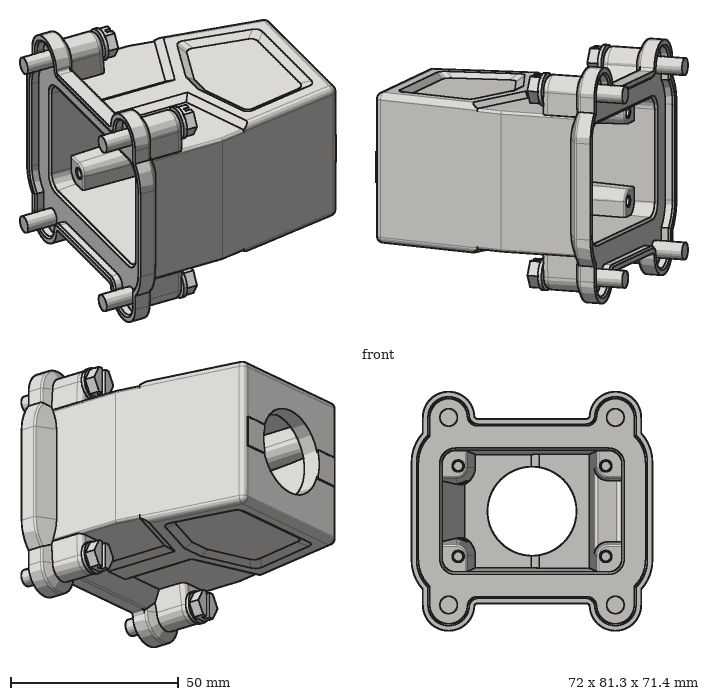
import cadquery as cq
import math


TOTAL_LENGTH = 81.35
FLANGE_WIDTH = 72.0
FLANGE_HEIGHT = 55.15
FLANGE_CORNER_R = 13.0
FLANGE_FRONT = 6.9
FLANGE_PLATE = 5.0
FLANGE_EDGE_R = 0.8
SLOPE_HEIGHT = 3.6
SLOPE_ANGLE = 60.0
LUG_X = 24.9
LUG_Z = 28.0
LUG_R = 7.7
LUG_ROOT_R = 1.0
RECESS_DEPTH = 2.85
RECESS_FLOOR = FLANGE_FRONT + RECESS_DEPTH
RIM_WIDTH = 1.55
RIM_CHAMFER = 0.6

HOOD_HALF_WIDTH = 29.85
HOOD_HALF_HEIGHT = 22.9
HOOD_END = 80.95
HOOD_END_HALF_WIDTH = 22.2
HOOD_BEND = 37.9
HOOD_EDGE_R = 2.0
SIDE_SLOPE = (HOOD_HALF_WIDTH - HOOD_END_HALF_WIDTH) / (HOOD_END - HOOD_BEND)
PAD_X = 16.7
PAD_WIDTH = 8.0
PAD_HEIGHT = 9.3

RELIEF_DEPTH = 1.5
RELIEF_RUN = 2.6
RELIEF_TAPER = math.degrees(math.atan(RELIEF_RUN / RELIEF_DEPTH))
RIB_HALF_WIDTH = 4.0
RIB_FORK = 39.95
ARM_SLOPE = 0.36
POCKET_FRONT = 43.6
POCKET_BACK = 75.65
POCKET_CORNER_R = 5.3
POCKET_SIDE_X = 22.45
POCKET_BACK_X = 17.6
PANEL_EDGE_R = 0.8
PANEL_CORE_END = 53.7
PANEL_OVERHANG = 8.1

CAVITY_HALF_WIDTH = 26.85
CAVITY_HALF_HEIGHT = 18.15
CAVITY_CORNER_R = 4.1
MOUTH_CHAMFER = 0.7
CAVITY_END = 75.65
CAVITY_END_HALF_HEIGHT = 16.9
FLOOR_STEP = 2.3
FLOOR_STEP_X = 1.0
SHELF_Y = 35.8
SHELF_CORNER_R = 1.6
SHELF_EDGE_R = 1.05
ENTRY_R = 13.3

POST_FRONT = 17.0
POST_INNER_X = 19.4
POST_INNER_Z = 9.9
POST_CORNER_R = 3.25
POST_END_INSET = 2.4
POST_EDGE_R = 0.6
POST_HOLE_X = 22.05
POST_HOLE_Z = 13.5
POST_HOLE_R = 1.5
POST_HOLE_DEPTH = 9.8
POST_HOLE_CHAMFER = 0.3

BOSS_R = 4.6
BOSS_END = 24.9
BOSS_EDGE_R = 1.9
WEB_FOOT_Z = 21.15
WEB_FOOT_SPREAD = 1.1
SCREW_R = 2.6
WASHER_R = 5.0
WASHER_END = 26.0
HEAD_END = 29.5
HEAD_FLATS = 8.0
HEAD_SLOT_WIDTH = 1.4
HEAD_SLOT_DEPTH = 1.7

BEYOND = 2 * TOTAL_LENGTH


def across(y):
    """Workplane at the given Y, facing +Y, with local x along X and local y along -Z."""
    return cq.Workplane(cq.Plane(origin=(0, y, 0), xDir=(1, 0, 0), normal=(0, 1, 0)))


def between(y_low, y_high, half_width=BEYOND):
    """Selector for edges centred between two Y positions and within a half width in X."""
    return cq.selectors.BoxSelector((-half_width, y_low, -BEYOND), (half_width, y_high, BEYOND))


def four_corners(x, z):
    return [(sx * x, sz * z) for sx in (-1, 1) for sz in (-1, 1)]


def mirrored(points):
    """Points of a right-hand half outline followed by their mirror image in X = 0."""
    return points + [(-x, y) for x, y in reversed(points)]


def at_four_corners(part):
    pair = part.union(part.mirror("YZ"))
    return pair.union(pair.mirror("XY"))


def round_lug_roots(solid, y_low, y_high, radius):
    """Round the edges where the lugs meet the long straight sides."""
    return solid.edges("|Y").edges(between(y_low, y_high, LUG_X)).fillet(radius)


def flange_pieces(y, inset):
    """Rounded plate outline and the two lug-pair outlines, drawn in from the rim by inset."""
    width = FLANGE_WIDTH - 2 * inset
    height = FLANGE_HEIGHT - 2 * inset
    plate = cq.Sketch().rect(width, height).vertices().fillet(FLANGE_CORNER_R - inset)
    lug_pair = cq.Sketch().slot(2 * LUG_Z, 2 * (LUG_R - inset), angle=90)
    return [
        across(y).placeSketch(plate),
        across(y).center(-LUG_X, 0).placeSketch(lug_pair),
        across(y).center(LUG_X, 0).placeSketch(lug_pair),
    ]


def make_flange():
    """Plate with filleted lug roots, topped by sloped pieces whose rims are rounded."""
    slope_front = FLANGE_FRONT + FLANGE_PLATE
    straight_height = FLANGE_PLATE - FLANGE_EDGE_R * math.tan(math.radians(SLOPE_ANGLE / 2))
    plate = cq.Workplane()
    for outline in flange_pieces(FLANGE_FRONT, 0):
        plate = plate.union(outline.extrude(straight_height))
    flange = round_lug_roots(plate, FLANGE_FRONT, slope_front, LUG_ROOT_R)
    rim = between(slope_front - 0.1, slope_front + 0.1)
    for straight, sloped in zip(flange_pieces(FLANGE_FRONT, 0), flange_pieces(slope_front, 0)):
        piece = straight.extrude(FLANGE_PLATE).union(sloped.extrude(SLOPE_HEIGHT, taper=SLOPE_ANGLE))
        flange = flange.union(piece.edges(rim).fillet(FLANGE_EDGE_R))
    return flange


def make_recess():
    """Shallow recess that follows the flange outline."""
    inset = RIM_WIDTH + RIM_CHAMFER
    recess = cq.Workplane()
    for outline in flange_pieces(FLANGE_FRONT, inset):
        recess = recess.union(outline.extrude(RECESS_DEPTH))
    return round_lug_roots(recess, FLANGE_FRONT, RECESS_FLOOR, LUG_ROOT_R + inset)


def make_base():
    """Flange with its recess and the chamfer inside the rim."""
    base = make_flange().cut(make_recess())
    rim_edges = base.faces("<Y").val().innerWires()[0].Edges()
    return base.newObject(rim_edges).chamfer(RIM_CHAMFER)


def make_relief_cut():
    """Sunken areas of the top face: one pocket and the two panels beside the Y-shaped rib."""
    top = cq.Workplane("XY", origin=(0, 0, HOOD_HALF_HEIGHT))
    side_y = POCKET_FRONT + (POCKET_SIDE_X - RIB_HALF_WIDTH) * ARM_SLOPE
    pocket_outline = mirrored([
        (RIB_HALF_WIDTH, POCKET_FRONT),
        (POCKET_SIDE_X, side_y),
        (POCKET_BACK_X, POCKET_BACK),
    ])
    pocket = top.polyline(pocket_outline).close().extrude(-RELIEF_DEPTH, taper=RELIEF_TAPER)
    side_corners = between(POCKET_FRONT + RELIEF_RUN + 1.6, BEYOND)
    pocket = pocket.edges("not #Z").edges(side_corners).fillet(POCKET_CORNER_R)

    outer_x = HOOD_HALF_WIDTH + PANEL_OVERHANG
    outer_y = RIB_FORK + (outer_x - RIB_HALF_WIDTH) * ARM_SLOPE
    panel_outline = [
        (RIB_HALF_WIDTH, 0),
        (outer_x, 0),
        (outer_x, outer_y),
        (RIB_HALF_WIDTH, RIB_FORK),
    ]
    panel = top.polyline(panel_outline).close().extrude(-RELIEF_DEPTH, taper=RELIEF_TAPER)
    panel = panel.union(panel.faces("<Z").wires().toPending().extrude(-2 * PANEL_EDGE_R))
    return pocket.union(panel).union(panel.mirror("YZ"))


def hood_block(end, half_height):
    """Block with straight sides that narrow beyond the bend."""
    end_half_width = HOOD_HALF_WIDTH - SIDE_SLOPE * (end - HOOD_BEND)
    outline = mirrored([
        (HOOD_HALF_WIDTH, RECESS_FLOOR),
        (HOOD_HALF_WIDTH, HOOD_BEND),
        (end_half_width, end),
    ])
    base = cq.Workplane("XY", origin=(0, 0, -half_height))
    return base.polyline(outline).close().extrude(2 * half_height)


def make_hood():
    """Raised block with the relief cut out, filled to panel level by a lower rounded core."""
    hood = hood_block(HOOD_END, HOOD_HALF_HEIGHT)
    hood = hood.edges(between(HOOD_BEND + 0.8, HOOD_END + 0.8)).fillet(HOOD_EDGE_R)
    relief = make_relief_cut()
    hood = hood.cut(relief).cut(relief.mirror("XY"))
    core = hood_block(PANEL_CORE_END, HOOD_HALF_HEIGHT - RELIEF_DEPTH)
    core = core.edges("#Z").edges("not |X").fillet(PANEL_EDGE_R)
    return hood.union(core)


def make_pads():
    """Two thin pads raised from the closed end."""
    start = HOOD_END - HOOD_EDGE_R
    pads = across(start).pushPoints([(-PAD_X, 0), (PAD_X, 0)])
    return pads.rect(PAD_WIDTH, PAD_HEIGHT).extrude(TOTAL_LENGTH - start)


def inner_wall_x(y):
    """Distance from the middle to the drafted post faces and the wall below the shelf."""
    return POST_INNER_X - POST_END_INSET * (y - POST_FRONT) / (CAVITY_END - POST_FRONT)


def make_posts():
    """Four rounded corner posts that widen towards the cavity floor."""
    length = CAVITY_END - POST_FRONT
    draft = math.degrees(math.atan(POST_END_INSET / length))
    size_x = 2 * (CAVITY_HALF_WIDTH - POST_INNER_X)
    size_z = 2 * (CAVITY_HALF_HEIGHT - POST_INNER_Z)
    section = cq.Sketch().rect(size_x, size_z).vertices().fillet(POST_CORNER_R)
    posts = cq.Workplane()
    for x, z in four_corners(CAVITY_HALF_WIDTH, CAVITY_HALF_HEIGHT):
        post = across(POST_FRONT).center(x, z).placeSketch(section).extrude(length, taper=-draft)
        posts = posts.union(post)
    return posts.faces("<Y").edges().fillet(POST_EDGE_R)


def cavity_plan():
    """Hollow seen from above: sloped left wall, shelf on the right and stepped floor."""
    shallow_end = CAVITY_END - FLOOR_STEP
    half_step = FLOOR_STEP / 2
    sloped_end_x = SIDE_SLOPE * (CAVITY_END - HOOD_BEND) - CAVITY_HALF_WIDTH
    shelf_inner_x = inner_wall_x(SHELF_Y)
    outline = [
        (-CAVITY_HALF_WIDTH, RECESS_FLOOR),
        (CAVITY_HALF_WIDTH, RECESS_FLOOR),
        (CAVITY_HALF_WIDTH, SHELF_Y),
        (shelf_inner_x, SHELF_Y),
        (inner_wall_x(shallow_end), shallow_end),
        (FLOOR_STEP_X + half_step, shallow_end),
        (FLOOR_STEP_X - half_step, CAVITY_END),
        (sloped_end_x, CAVITY_END),
        (-CAVITY_HALF_WIDTH, HOOD_BEND),
    ]
    base = cq.Workplane("XY", origin=(0, 0, -CAVITY_HALF_HEIGHT))
    plan = base.polyline(outline).close().extrude(2 * CAVITY_HALF_HEIGHT)
    for x, radius in ((CAVITY_HALF_WIDTH, SHELF_CORNER_R), (shelf_inner_x, SHELF_EDGE_R)):
        nearest = cq.selectors.NearestToPointSelector((x, SHELF_Y, 0))
        plan = plan.edges("|Z").edges(nearest).fillet(radius)
    return plan


def cavity_profile():
    """Hollow seen from the side: top and bottom walls drafted towards the floor."""
    outline = [
        (RECESS_FLOOR, CAVITY_HALF_HEIGHT),
        (CAVITY_END, CAVITY_END_HALF_HEIGHT),
        (CAVITY_END, -CAVITY_END_HALF_HEIGHT),
        (RECESS_FLOOR, -CAVITY_HALF_HEIGHT),
    ]
    base = cq.Workplane("YZ", origin=(-CAVITY_HALF_WIDTH, 0, 0))
    return base.polyline(outline).close().extrude(2 * CAVITY_HALF_WIDTH)


def make_cavity():
    """Hollow of the hood, less the posts, with a chamfered mouth."""
    def mouth(margin):
        width = 2 * (CAVITY_HALF_WIDTH + margin)
        height = 2 * (CAVITY_HALF_HEIGHT + margin)
        outline = cq.Sketch().rect(width, height).vertices().fillet(CAVITY_CORNER_R + margin)
        return across(RECESS_FLOOR).placeSketch(outline)

    hollow = mouth(0).extrude(CAVITY_END - RECESS_FLOOR)
    hollow = hollow.intersect(cavity_plan()).intersect(cavity_profile()).cut(make_posts())
    flare = mouth(MOUTH_CHAMFER).extrude(MOUTH_CHAMFER, taper=45)
    return hollow.union(flare)


def make_post_holes():
    """Blind holes in the post faces, chamfered at the mouth."""
    places = across(POST_FRONT).pushPoints(four_corners(POST_HOLE_X, POST_HOLE_Z))
    holes = places.circle(POST_HOLE_R).extrude(POST_HOLE_DEPTH)
    places = across(POST_FRONT).pushPoints(four_corners(POST_HOLE_X, POST_HOLE_Z))
    mouths = places.circle(POST_HOLE_R + POST_HOLE_CHAMFER).extrude(POST_HOLE_CHAMFER, taper=45)
    return holes.union(mouths)


def make_boss():
    """Round boss for one screw with a web that joins it to the hood."""
    length = BOSS_END - RECESS_FLOOR
    web_outline = [
        (LUG_X - BOSS_R, -LUG_Z),
        (LUG_X + BOSS_R, -LUG_Z),
        (HOOD_HALF_WIDTH, -WEB_FOOT_Z),
        (LUG_X - BOSS_R - WEB_FOOT_SPREAD, -WEB_FOOT_Z),
    ]
    web = across(RECESS_FLOOR).polyline(web_outline).close().extrude(length)
    boss = across(RECESS_FLOOR).center(LUG_X, -LUG_Z).circle(BOSS_R).extrude(length).union(web)
    return boss.faces(">Y").edges("not <Z").fillet(BOSS_EDGE_R)


def make_screw():
    """Hexagon-head screw with washer and driver slot."""
    def on_axis(y):
        return across(y).center(LUG_X, -LUG_Z)

    shank = on_axis(0).circle(SCREW_R).extrude(BOSS_END)
    washer = on_axis(BOSS_END).circle(WASHER_R).extrude(WASHER_END - BOSS_END)
    across_corners = HEAD_FLATS / math.cos(math.radians(30))
    head = on_axis(WASHER_END).polygon(6, across_corners).extrude(HEAD_END - WASHER_END)
    slot = on_axis(HEAD_END - HEAD_SLOT_DEPTH).rect(HEAD_SLOT_WIDTH, 2 * WASHER_R).extrude(HEAD_SLOT_DEPTH)
    return shank.union(washer).union(head.cut(slot))


body = make_hood().union(at_four_corners(make_boss())).union(make_base()).union(make_pads())
body = body.cut(make_cavity()).cut(make_post_holes())
cable_entry = across(CAVITY_END - 2 * FLOOR_STEP).circle(ENTRY_R).extrude(TOTAL_LENGTH)
body = body.cut(cable_entry)
result = body.union(at_four_corners(make_screw()))